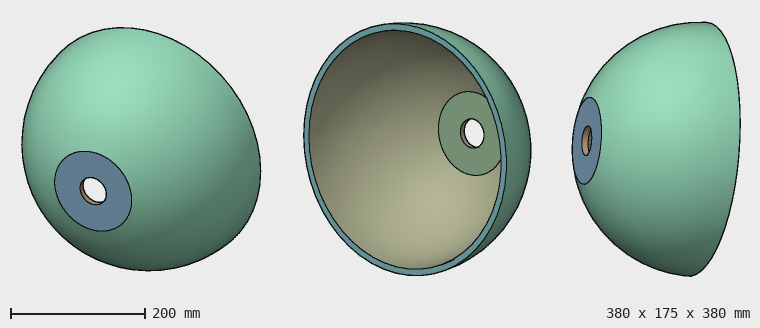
import cadquery as cq
import math

rim_radius = 190.0
depth = 175.0
flat_radius = 65.0
hole_radius = 22.0
wall = 10.0
rim_band = 1.0

rim_y = depth / 2
dome_y = rim_y - rim_band
dome_height = depth - rim_band

centre_below_band = (dome_height**2 + flat_radius**2 - rim_radius**2) / (2 * dome_height)
outer_sphere_radius = math.hypot(rim_radius, centre_below_band)


def bowl(sphere_radius, height):
    """Solid truncated dome under a short straight rim band, with its flat end towards -Y."""

    def radius_at(distance):
        return math.sqrt(sphere_radius**2 - (distance - centre_below_band) ** 2)

    middle = height / 2
    return (
        cq.Workplane("XY")
        .moveTo(0, rim_y)
        .lineTo(radius_at(0), rim_y)
        .lineTo(radius_at(0), dome_y)
        .threePointArc((radius_at(middle), dome_y - middle), (radius_at(height), dome_y - height))
        .lineTo(0, dome_y - height)
        .close()
        .revolve(360, (0, 0, 0), (0, 1, 0))
    )


cavity = bowl(outer_sphere_radius - wall, dome_height - wall)
shell = bowl(outer_sphere_radius, dome_height).cut(cavity)

hole = cq.Workplane("XZ").circle(hole_radius).extrude(depth)

result = shell.cut(hole)